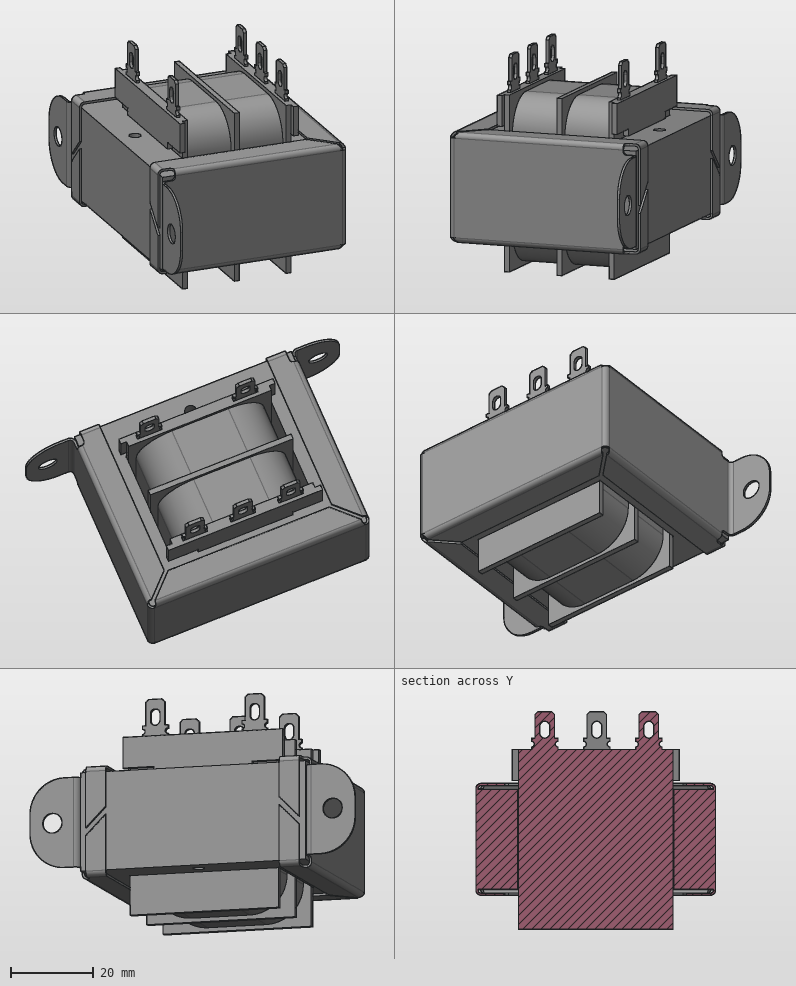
import cadquery as cq
import math

SIDES = (-1, 1)

SHEET = 0.6
BEND = 1.3
SHELL_HALF_X = 29.1
SHELL_HALF_Z = 13.6
SHELL_BACK = 24.8
SHELL_FRONT = -24.3
OPENING_HALF_X = 22.0
OPENING_BACK = 17.5
MITRE_GAP = 0.9
CORNER_RELIEF_R = 1.0
RELIEF_INNER_X = 27.1
RELIEF_BACK = -20.5
RELIEF_R = 1.0
TAB_SLIT = 1.9

EAR_HALF_X = 41.3
EAR_HALF_Z = 11.1
EAR_CORNER_R = 8.7
EAR_BEND = 1.0
EAR_HOLE_X = 35.6
EAR_HOLE_D = 4.9

CORE_HALF_X = SHELL_HALF_X - SHEET
CORE_HALF_Z = 12.1
CORE_BACK = SHELL_BACK - SHEET
CORE_FRONT = SHELL_FRONT + SHEET
WINDOW_HALF_X = 19.0
CORE_HOLE_Y = -18.9
CORE_HOLE_D = 2.9

PLATE_HALF_X = 18.8
PLATE_HALF_Z = 21.9
PLATE_THICK = 1.3
BOBBIN_HALF_Y = 14.3
WINDING_HALF_X = 16.8
WINDING_HALF_Z = 20.9
WINDING_R = 9.4

STRIP_HALF_X = 20.3
STRIP_THICK = 1.3
STRIP_BOTTOM = 14.3
STRIP_FOOT_HALF_X = 12.5
STRIP_FOOT_BOTTOM = 12.55

TAG_TOP = 31.0
TAG_PITCH = 12.6
TAG_SHIFT = 0.25
TAG_THICK = 0.8
TAG_Y = 14.3
TAG_BASE_HALF = 3.2
TAG_BLADE_HALF = 2.4
TAG_SHOULDER = 24.6
TAG_CORNER = 0.75
TAG_NOTCH_Z = 23.1
TAG_NOTCH_R = 0.7
TAG_SLOT_WIDTH = 2.4
TAG_SLOT_BOTTOM = 24.6
TAG_SLOT_TOP = 28.65
TAG_ROOT = 1.65


def block(x0, x1, y0, y1, z0, z1):
    """Box between two opposite corners, given in any order."""
    return (
        cq.Workplane("XY")
        .box(abs(x1 - x0), abs(y1 - y0), abs(z1 - z0))
        .translate(((x0 + x1) / 2, (y0 + y1) / 2, (z0 + z1) / 2))
    )


def rounded_envelope(inset):
    """Block inside the shell outline, rounded on every bent edge."""
    half_x = SHELL_HALF_X - inset
    half_z = SHELL_HALF_Z - inset
    body = block(-half_x, half_x, SHELL_FRONT + inset, SHELL_BACK - inset, -half_z, half_z)
    return body.edges("|X or |Y or (|Z and >Y)").fillet(BEND - inset)


def mitre_cut(side, level):
    """Diagonal slit and round corner relief between a side flange and the back flange."""
    diagonal = (SHELL_HALF_X - OPENING_HALF_X + MITRE_GAP) * math.sqrt(2)
    height = BEND
    slit = (
        cq.Workplane("XY")
        .box(diagonal, MITRE_GAP, height)
        .translate((-diagonal / 2, 0, 0))
        .rotate((0, 0, 0), (0, 0, 1), 45)
        .translate((SHELL_HALF_X, SHELL_BACK, 0))
    )
    relief = (
        cq.Workplane("XY")
        .center(SHELL_HALF_X - CORNER_RELIEF_R, SHELL_BACK - CORNER_RELIEF_R)
        .circle(CORNER_RELIEF_R)
        .extrude(height / 2, both=True)
    )
    cut = slit.union(relief).translate((0, 0, level * (SHELL_HALF_Z - height / 2)))
    return cut if side > 0 else cut.mirror("YZ")


def front_relief(side, level):
    """Cut-out in flange and side wall where the ear, tab and flange bends meet."""
    cut = block(
        RELIEF_INNER_X, SHELL_HALF_X + SHEET,
        SHELL_FRONT - SHEET, RELIEF_BACK,
        EAR_HALF_Z, SHELL_HALF_Z + SHEET,
    )
    cut = cut.edges("(|X and >Y and <Z) or (|Z and >Y and <X)").fillet(RELIEF_R)
    if level < 0:
        cut = cut.mirror("XY")
    return cut if side > 0 else cut.mirror("YZ")


def tab_slit(side):
    """Slanted slit separating the upper and lower front tabs."""
    half_slant = (RELIEF_INNER_X - OPENING_HALF_X) / 2
    half_slit = TAB_SLIT / 2
    return (
        cq.Workplane("XZ", origin=(0, CORE_FRONT, 0))
        .polyline([
            (side * OPENING_HALF_X, half_slant + half_slit),
            (side * RELIEF_INNER_X, -half_slant + half_slit),
            (side * RELIEF_INNER_X, -half_slant - half_slit),
            (side * OPENING_HALF_X, half_slant - half_slit),
        ])
        .close()
        .extrude(SHEET)
    )


def ear(side):
    """Front end of a side wall with the mounting ear bent outwards from it."""
    wall = block(CORE_HALF_X, SHELL_HALF_X, SHELL_FRONT, RELIEF_BACK, -EAR_HALF_Z, EAR_HALF_Z)
    plate = block(CORE_HALF_X, EAR_HALF_X, SHELL_FRONT, CORE_FRONT, -EAR_HALF_Z, EAR_HALF_Z)
    plate = plate.edges("|Y and >X").fillet(EAR_CORNER_R)
    bent = wall.union(plate)
    bent = bent.edges(cq.NearestToPointSelector((SHELL_HALF_X, CORE_FRONT, 0))).fillet(EAR_BEND)
    bent = bent.edges(cq.NearestToPointSelector((CORE_HALF_X, SHELL_FRONT, 0))).fillet(EAR_BEND + SHEET)
    hole = (
        cq.Workplane("XZ", origin=(EAR_HOLE_X, CORE_FRONT, 0))
        .circle(EAR_HOLE_D / 2)
        .extrude(SHEET)
    )
    bent = bent.cut(hole)
    return bent if side > 0 else bent.mirror("YZ")


def make_shell():
    shell = rounded_envelope(0).cut(rounded_envelope(SHEET))
    shell = shell.cut(block(
        -OPENING_HALF_X, OPENING_HALF_X,
        SHELL_FRONT, OPENING_BACK,
        -SHELL_HALF_Z, SHELL_HALF_Z,
    ))
    for side in SIDES:
        shell = shell.cut(tab_slit(side))
        shell = shell.cut(block(
            side * RELIEF_INNER_X, side * SHELL_HALF_X,
            SHELL_FRONT, RELIEF_BACK - RELIEF_R,
            -EAR_HALF_Z, EAR_HALF_Z,
        ))
        for level in SIDES:
            shell = shell.cut(mitre_cut(side, level))
            shell = shell.cut(front_relief(side, level))
        shell = shell.union(ear(side))
    return shell


def make_core():
    core = block(-CORE_HALF_X, CORE_HALF_X, CORE_FRONT, CORE_BACK, -CORE_HALF_Z, CORE_HALF_Z)
    window = block(
        -WINDOW_HALF_X, WINDOW_HALF_X,
        -BOBBIN_HALF_Y, BOBBIN_HALF_Y,
        -CORE_HALF_Z, CORE_HALF_Z,
    )
    hole = (
        cq.Workplane("XY")
        .center(0, CORE_HOLE_Y)
        .circle(CORE_HOLE_D / 2)
        .extrude(CORE_HALF_Z, both=True)
    )
    return core.cut(window).cut(hole)


def make_coil():
    """Winding with rounded corners, two end plates and a middle divider."""
    coil = block(
        -WINDING_HALF_X, WINDING_HALF_X,
        -BOBBIN_HALF_Y, BOBBIN_HALF_Y,
        -WINDING_HALF_Z, WINDING_HALF_Z,
    ).edges("|Y").fillet(WINDING_R)
    plate_offset = BOBBIN_HALF_Y - PLATE_THICK / 2
    for y in (-plate_offset, 0, plate_offset):
        coil = coil.union(block(
            -PLATE_HALF_X, PLATE_HALF_X,
            y - PLATE_THICK / 2, y + PLATE_THICK / 2,
            -PLATE_HALF_Z, PLATE_HALF_Z,
        ))
    return coil


def terminal_strip(end):
    inner = end * BOBBIN_HALF_Y
    outer = end * (BOBBIN_HALF_Y + STRIP_THICK)
    strip = block(-STRIP_HALF_X, STRIP_HALF_X, inner, outer, STRIP_BOTTOM, PLATE_HALF_Z)
    foot = block(-STRIP_FOOT_HALF_X, STRIP_FOOT_HALF_X, inner, outer, STRIP_FOOT_BOTTOM, STRIP_BOTTOM)
    return strip.union(foot)


def solder_tag(x, y):
    half_thick = TAG_THICK / 2
    root = PLATE_HALF_Z - TAG_ROOT
    base = block(-TAG_BASE_HALF, TAG_BASE_HALF, -half_thick, half_thick, root, TAG_SHOULDER)
    blade = block(-TAG_BLADE_HALF, TAG_BLADE_HALF, -half_thick, half_thick, root, TAG_TOP)
    blade = blade.edges("|Y and >Z").chamfer(TAG_CORNER)
    slot_length = TAG_SLOT_TOP - TAG_SLOT_BOTTOM
    slot = (
        cq.Workplane("XZ")
        .center(0, (TAG_SLOT_TOP + TAG_SLOT_BOTTOM) / 2)
        .slot2D(slot_length, TAG_SLOT_WIDTH, 90)
        .extrude(half_thick, both=True)
    )
    notches = (
        cq.Workplane("XZ")
        .pushPoints([(side * TAG_BASE_HALF, TAG_NOTCH_Z) for side in SIDES])
        .circle(TAG_NOTCH_R)
        .extrude(half_thick, both=True)
    )
    return base.union(blade).cut(slot).cut(notches).translate((x, y, 0))


result = make_core().union(make_shell()).union(make_coil())
for end in SIDES:
    result = result.union(terminal_strip(end))
    for column in (-1, 0, 1) if end > 0 else SIDES:
        result = result.union(solder_tag(TAG_SHIFT + column * TAG_PITCH, end * TAG_Y))